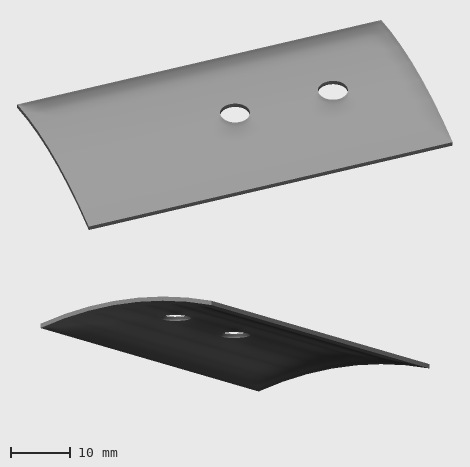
import cadquery as cq
import math

length = 65.0
width = 34.65
height = 3.0
thickness = 0.7

hole_diameter = 5.0
hole_spacing = 17.5

half_width = width / 2
inner_rise = height - thickness
inner_radius = (half_width**2 + inner_rise**2) / (2 * inner_rise)
outer_radius = inner_radius + thickness
arc_center_z = height - outer_radius
outer_edge_z = arc_center_z + math.sqrt(outer_radius**2 - half_width**2)


def curved_plate():
    """Arched section extruded along Y, centred on the origin in Y."""
    return (
        cq.Workplane("XZ")
        .moveTo(-half_width, 0)
        .lineTo(-half_width, outer_edge_z)
        .threePointArc((0, height), (half_width, outer_edge_z))
        .lineTo(half_width, 0)
        .threePointArc((0, inner_rise), (-half_width, 0))
        .close()
        .extrude(length / 2, both=True)
    )


def hole_cutters():
    """Vertical cylinders passing through the plate."""
    return (
        cq.Workplane("XY")
        .pushPoints([(0, 0), (0, hole_spacing)])
        .circle(hole_diameter / 2)
        .extrude(height)
    )


result = curved_plate().cut(hole_cutters())